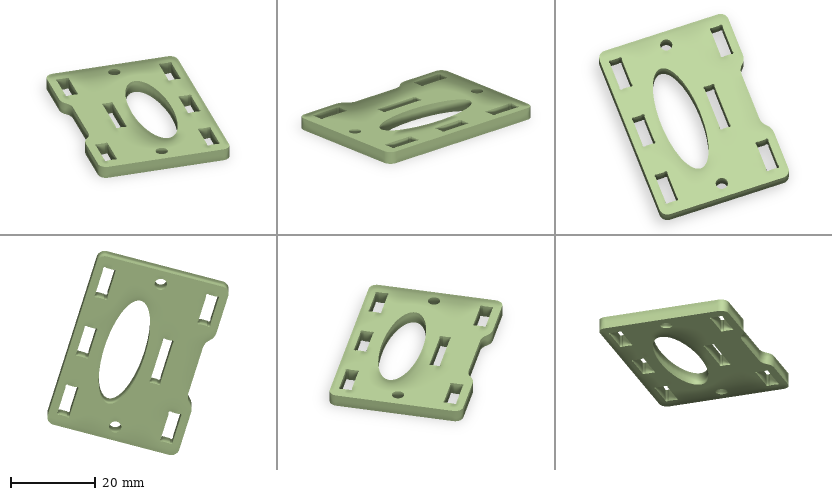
import cadquery as cq

length = 46.0
width = 32.5
thickness = 3.0
corner_radius = 2.0

notch_depth = 2.02
notch_floor_half = 6.25
notch_mouth_half = 10.95

ellipse_length = 28.05
ellipse_width = 9.85
ellipse_y = 3.35
hole_diameter = 2.9
hole_x = 19.5

slot_length = 8.0
slot_width = 3.0
slot_x = 16.05
slot_y = 12.75
center_slot_length = 11.9
center_slot_width = 2.5
center_slot_y = -5.85
relief_radius = 0.4
relief_inset = relief_radius / 2**0.5


def make_plate():
    plate = cq.Workplane("XY").box(length, width, thickness, centered=(True, True, False))
    return plate.edges("|Z").fillet(corner_radius)


def make_notch():
    front = -width / 2
    floor = front + notch_depth
    curve_middle_x = (notch_mouth_half + notch_floor_half) / 2
    curve_middle_y = front + notch_depth / 2
    right_half = (
        cq.Workplane("XY")
        .moveTo(0, floor)
        .lineTo(notch_floor_half, floor)
        .tangentArcPoint((curve_middle_x, curve_middle_y), relative=False)
        .tangentArcPoint((notch_mouth_half, front), relative=False)
        .lineTo(0, front)
        .close()
        .extrude(thickness)
    )
    return right_half.union(right_half.mirror("YZ"))


def make_slot(x, y, size_x, size_y):
    center = cq.Workplane("XY").center(x, y)
    reliefs = (
        center.rect(size_x - 2 * relief_inset, size_y - 2 * relief_inset, forConstruction=True)
        .vertices()
        .circle(relief_radius)
        .extrude(thickness)
    )
    return center.rect(size_x, size_y).extrude(thickness).union(reliefs)


ellipse_opening = (
    cq.Workplane("XY")
    .center(0, ellipse_y)
    .ellipse(ellipse_length / 2, ellipse_width / 2)
    .extrude(thickness)
)
round_holes = (
    cq.Workplane("XY")
    .pushPoints([(-hole_x, 0), (hole_x, 0)])
    .circle(hole_diameter / 2)
    .extrude(thickness)
)

result = make_plate().cut(make_notch()).cut(ellipse_opening).cut(round_holes)

slot_centers = [
    (-slot_x, slot_y),
    (0, slot_y),
    (slot_x, slot_y),
    (-slot_x, -slot_y),
    (slot_x, -slot_y),
]
for x, y in slot_centers:
    result = result.cut(make_slot(x, y, slot_length, slot_width))

result = result.cut(make_slot(0, center_slot_y, center_slot_length, center_slot_width))